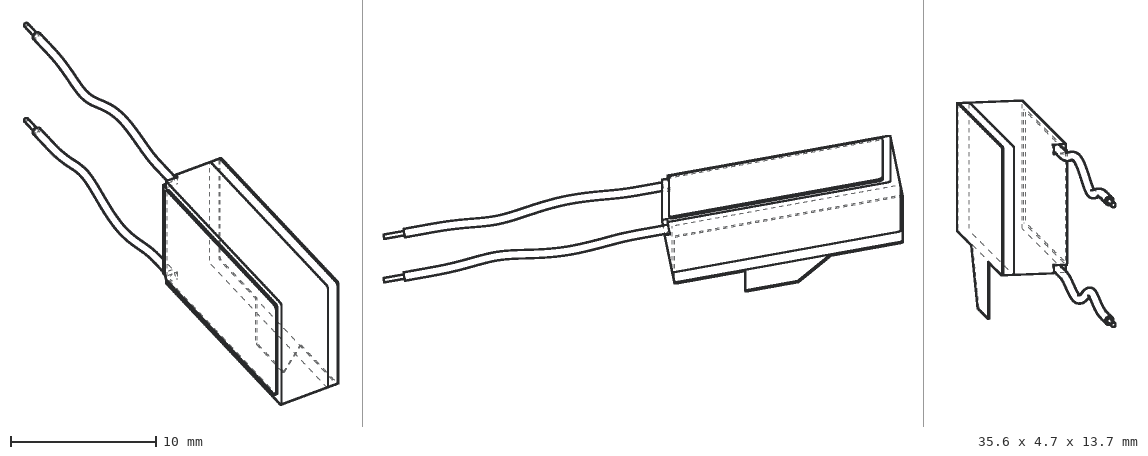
import cadquery as cq

case_length = 16.02
case_height = 9.0
corner_radius = 0.2

liner_thickness = 0.1
pad_thickness = 0.75
total_depth = 4.7
panel_rise = 0.15
front_frame_depth = 0.93
pad_back_y = -liner_thickness
core_back_y = pad_back_y - pad_thickness
frame_front_y = -(total_depth - panel_rise)
core_front_y = frame_front_y + front_frame_depth

panel_inset = 0.55
panel_corner_radius = 0.3

tab_left = 5.0
tab_drop = 4.0
tab_top_width = 5.98
tab_bottom_width = 3.7

wire_diameter = 0.6
wire_radius = wire_diameter / 2
bare_diameter = 0.32
total_length = 35.6
bare_length = 1.42
straight_length = 2.03
notch_length = 0.4
wave_height = 0.7
first_swing_x = -13.6
first_crest_x = -11.75
crossing_x = -9.4
second_crest_x = -6.6
last_swing_x = -4.13
wire_y = core_front_y - wire_radius
wire_start_x = case_length - total_length
sleeve_start_x = wire_start_x + bare_length
wave_start_x = sleeve_start_x + straight_length
wave_end_x = notch_length - straight_length
upper_wire_z = case_height - wire_radius
lower_wire_z = wire_radius


def case_layer(back_y, front_y):
    """Layer of the case with its four corners rounded."""
    return (
        cq.Workplane("XZ", origin=(0, back_y, 0))
        .rect(case_length, case_height, centered=False)
        .extrude(back_y - front_y)
        .edges("|Y")
        .fillet(corner_radius)
    )


def make_liner():
    """Thin sheet over the back of the pad, with a pull tab below the case."""
    tab_root_z = corner_radius
    tab = (
        cq.Workplane("XZ")
        .moveTo(tab_left, tab_root_z)
        .lineTo(tab_left, -tab_drop)
        .lineTo(tab_left + tab_bottom_width, -tab_drop)
        .lineTo(tab_left + tab_top_width, 0)
        .lineTo(tab_left + tab_top_width, tab_root_z)
        .close()
        .extrude(liner_thickness)
    )
    return case_layer(0, pad_back_y).union(tab)


def make_pad():
    """Layer between the liner and the case."""
    return case_layer(pad_back_y, core_back_y)


def make_case():
    """Case core and the front frame as one solid, with the edge where their faces meet kept."""
    core = case_layer(core_back_y, core_front_y)
    return core.union(front_frame(), clean=False)


def front_frame():
    """Front of the case: a raised panel, and a notch for each wire in the left corners."""
    panel = (
        cq.Workplane("XZ", origin=(panel_inset, frame_front_y, panel_inset))
        .rect(case_length - 2 * panel_inset, case_height - 2 * panel_inset, centered=False)
        .extrude(panel_rise)
        .edges("|Y")
        .fillet(panel_corner_radius)
    )
    frame = case_layer(core_front_y, frame_front_y).union(panel)
    for notch_z in (0, case_height - wire_diameter):
        notch = cq.Workplane("XY").box(notch_length, front_frame_depth, wire_diameter, centered=False)
        frame = frame.cut(notch.translate((0, frame_front_y, notch_z)))
    return frame


def make_wire(axis_z, first_wave):
    """Lead with a bare end, two straight ends and a wavy stretch; first_wave is +1 up or -1 down."""

    def rod(start_x, length, diameter):
        return cq.Workplane("YZ", origin=(start_x, wire_y, axis_z)).circle(diameter / 2).extrude(length)

    crest_offset = first_wave * wave_height
    wave_path = cq.Workplane("XZ", origin=(0, wire_y, 0)).spline(
        [
            (wave_start_x, axis_z),
            (first_swing_x, axis_z + crest_offset / 2),
            (first_crest_x, axis_z + crest_offset),
            (crossing_x, axis_z),
            (second_crest_x, axis_z - crest_offset),
            (last_swing_x, axis_z - crest_offset / 2),
            (wave_end_x, axis_z),
        ],
        tangents=[(1, 0), (1, 0)],
    )
    wave = cq.Workplane("YZ", origin=(wave_start_x, wire_y, axis_z)).circle(wire_radius).sweep(wave_path)
    bare_end = rod(wire_start_x, bare_length, bare_diameter)
    outer_straight = rod(sleeve_start_x, straight_length, wire_diameter)
    inner_straight = rod(wave_end_x, straight_length, wire_diameter)
    return bare_end.union(outer_straight).union(wave).union(inner_straight)


liner = make_liner()
pad = make_pad()
case = make_case()
wires = [make_wire(axis_z, first_wave) for axis_z, first_wave in ((upper_wire_z, -1), (lower_wire_z, 1))]

result = cq.Compound.makeCompound(
    [liner.val(), pad.val(), case.val(), *[wire.val() for wire in wires]]
)